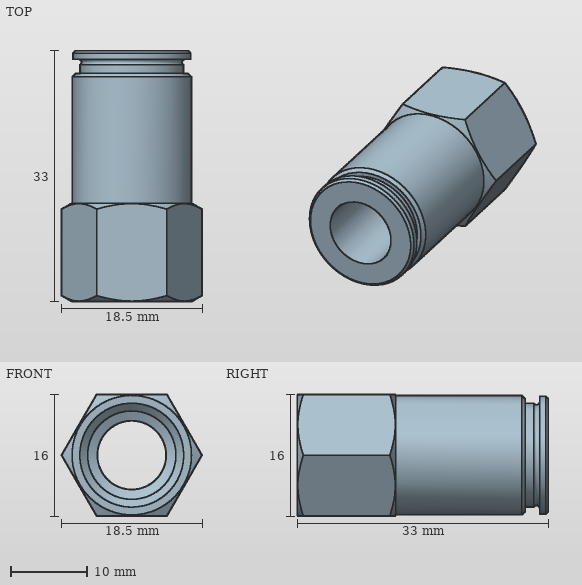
import cadquery as cq
import math

total_length = 33.0

across_flats = 16.0
hex_length = 12.97
hex_chamfer_angle = 30.0

body_diameter = 15.7
body_end = total_length - 3.0
body_chamfer = 0.45

sleeve_diameter = 13.65
flange_diameter = 15.5
flange_start = total_length - 1.15
flange_chamfer = 0.33
groove_width = 0.73
groove_depth = 0.2
groove_lip_diameter = 13.93

mouth_diameter = 13.65
bore_diameter = 11.6
through_diameter = 9.0
bore_depth = hex_length - 1.65
mouth_chamfer_angle = 45.0
bore_floor_angle = 25.0

axis_start = (0, 0)
axis_end = (0, 1)


def rise(width, angle):
    """Axial length of a cone of this radial width, angle taken from the end plane."""
    return width * math.tan(math.radians(angle))


def make_hexagon():
    corner_diameter = across_flats / math.cos(math.radians(30))
    prism = cq.Workplane("XZ").polygon(6, corner_diameter).extrude(-hex_length)
    face_radius = body_diameter / 2
    corner_radius = corner_diameter / 2
    outer_radius = corner_radius + 0.33
    chamfer_length = rise(outer_radius - face_radius, hex_chamfer_angle)
    envelope = (
        cq.Workplane("XY")
        .moveTo(0, 0)
        .lineTo(face_radius, 0)
        .lineTo(outer_radius, chamfer_length)
        .lineTo(outer_radius, hex_length - chamfer_length)
        .lineTo(face_radius, hex_length)
        .lineTo(0, hex_length)
        .close()
        .revolve(360, axis_start, axis_end)
    )
    return prism.intersect(envelope)


def make_body_and_sleeve():
    body_radius = body_diameter / 2
    sleeve_radius = sleeve_diameter / 2
    flange_radius = flange_diameter / 2
    groove_bottom = (sleeve_radius - groove_depth, flange_start - groove_width / 2)
    body_start = hex_length / 2
    return (
        cq.Workplane("XY")
        .moveTo(0, body_start)
        .lineTo(body_radius, body_start)
        .lineTo(body_radius, body_end - body_chamfer)
        .lineTo(body_radius - body_chamfer, body_end)
        .lineTo(sleeve_radius, body_end)
        .lineTo(sleeve_radius, flange_start - groove_width)
        .threePointArc(groove_bottom, (groove_lip_diameter / 2, flange_start))
        .lineTo(flange_radius, flange_start)
        .lineTo(flange_radius, total_length - flange_chamfer)
        .lineTo(flange_radius - flange_chamfer, total_length)
        .lineTo(0, total_length)
        .close()
        .revolve(360, axis_start, axis_end)
    )


def make_bore():
    mouth_radius = mouth_diameter / 2
    bore_radius = bore_diameter / 2
    through_radius = through_diameter / 2
    mouth_length = rise(mouth_radius - bore_radius, mouth_chamfer_angle)
    floor_length = rise(bore_radius - through_radius, bore_floor_angle)
    return (
        cq.Workplane("XY")
        .moveTo(0, 0)
        .lineTo(mouth_radius, 0)
        .lineTo(bore_radius, mouth_length)
        .lineTo(bore_radius, bore_depth)
        .lineTo(through_radius, bore_depth + floor_length)
        .lineTo(through_radius, total_length)
        .lineTo(0, total_length)
        .close()
        .revolve(360, axis_start, axis_end)
    )


result = make_hexagon().union(make_body_and_sleeve()).cut(make_bore())